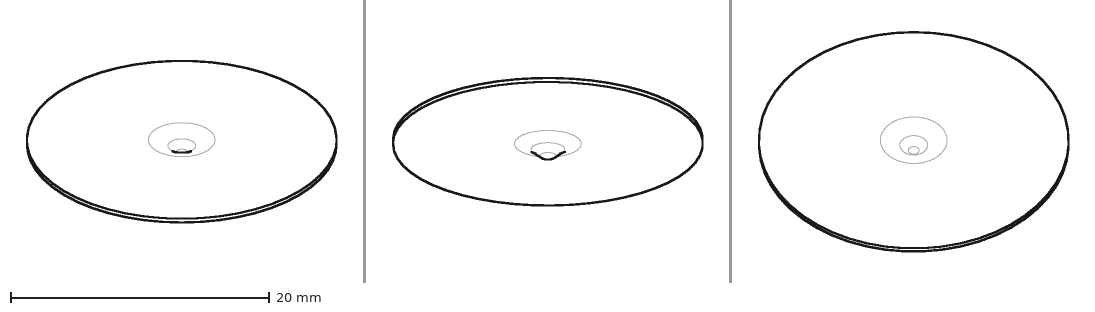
import cadquery as cq
import math

disc_diameter = 24.0
sheet_thickness = 0.35
dimple_depth = 1.25
cone_slope = 40.0
shoulder_inner_radius = 2.0
tip_inner_radius = 0.65

disc_radius = disc_diameter / 2
shoulder_outer_radius = shoulder_inner_radius + sheet_thickness
tip_outer_radius = tip_inner_radius + sheet_thickness

slope = math.radians(cone_slope)
bend_drop = (shoulder_inner_radius + tip_outer_radius) * (1 - math.cos(slope))
cone_run = (dimple_depth - bend_drop) / math.tan(slope)
shoulder_center_x = (shoulder_outer_radius + tip_inner_radius) * math.sin(slope) + cone_run
shoulder_center_z = -shoulder_inner_radius
tip_center_z = tip_outer_radius - dimple_depth


def shoulder_point(radius, angle):
    """Point on the shoulder bend, at an angle turned from its top toward the axis."""
    return (
        shoulder_center_x - radius * math.sin(angle),
        shoulder_center_z + radius * math.cos(angle),
    )


def tip_point(radius, angle):
    """Point on the tip bend, at an angle turned outward from its lowest point."""
    return (radius * math.sin(angle), tip_center_z - radius * math.cos(angle))


def sheet_profile():
    """Half section in the XZ plane; the underside of the flat disc is at z = 0."""
    return (
        cq.Workplane("XZ")
        .moveTo(*tip_point(tip_outer_radius, 0))
        .threePointArc(tip_point(tip_outer_radius, slope / 2), tip_point(tip_outer_radius, slope))
        .lineTo(*shoulder_point(shoulder_inner_radius, slope))
        .threePointArc(
            shoulder_point(shoulder_inner_radius, slope / 2),
            shoulder_point(shoulder_inner_radius, 0),
        )
        .lineTo(disc_radius, 0)
        .lineTo(disc_radius, sheet_thickness)
        .lineTo(*shoulder_point(shoulder_outer_radius, 0))
        .threePointArc(
            shoulder_point(shoulder_outer_radius, slope / 2),
            shoulder_point(shoulder_outer_radius, slope),
        )
        .lineTo(*tip_point(tip_inner_radius, slope))
        .threePointArc(tip_point(tip_inner_radius, slope / 2), tip_point(tip_inner_radius, 0))
        .close()
    )


result = sheet_profile().revolve(360, (0, 0, 0), (0, 1, 0))